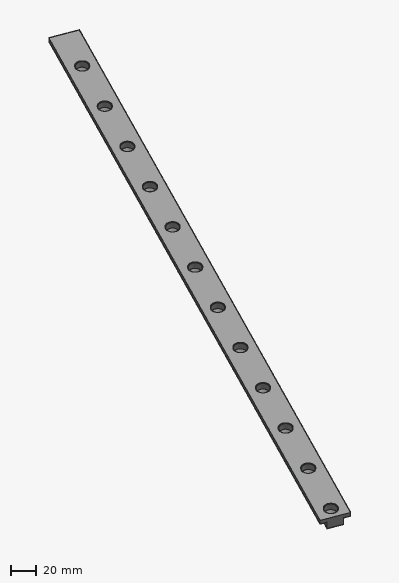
import cadquery as cq

LENGTH = 600.0
HEIGHT = 11.0
FLANGE_WIDTH = 26.0
FLANGE_THICKNESS = 4.0
WEB_WIDTH = 14.0

HOLE_COUNT = 12
HOLE_PITCH = 50.0
FIRST_HOLE_OFFSET = 40.0

SHANK_RADIUS = 5.5 / 2
HEAD_RADIUS = 11.0 / 2
HEAD_RECESS_DEPTH = 6.5
SEAT_DEPTH = HEAD_RADIUS - SHANK_RADIUS
RIM_CHAMFER = 0.5


def make_rail():
    """T-section bar centred on X and Y, standing on Z = 0."""
    flange_bottom = HEIGHT - FLANGE_THICKNESS
    web = cq.Workplane("XY").box(LENGTH, WEB_WIDTH, HEIGHT, centered=(True, True, False))
    flange = (
        cq.Workplane("XY")
        .workplane(offset=flange_bottom)
        .box(LENGTH, FLANGE_WIDTH, FLANGE_THICKNESS, centered=(True, True, False))
    )
    return web.union(flange)


def make_hole_cutter():
    """Solid of one screw hole on the Z axis, revolved from its half profile."""
    seat_top = HEIGHT - HEAD_RECESS_DEPTH
    seat_bottom = seat_top - SEAT_DEPTH
    return (
        cq.Workplane("XZ")
        .lineTo(SHANK_RADIUS, 0)
        .lineTo(SHANK_RADIUS, seat_bottom)
        .lineTo(HEAD_RADIUS, seat_top)
        .lineTo(HEAD_RADIUS, HEIGHT - RIM_CHAMFER)
        .lineTo(HEAD_RADIUS + RIM_CHAMFER, HEIGHT)
        .lineTo(0, HEIGHT)
        .close()
        .revolve(360, (0, 0, 0), (0, 1, 0))
    )


def cut_screw_holes(rail):
    """Cut the evenly spaced row of screw holes."""
    cutter = make_hole_cutter()
    first_hole_x = -LENGTH / 2 + FIRST_HOLE_OFFSET
    for index in range(HOLE_COUNT):
        hole_x = first_hole_x + index * HOLE_PITCH
        rail = rail.cut(cutter.translate((hole_x, 0, 0)))
    return rail


result = cut_screw_holes(make_rail())